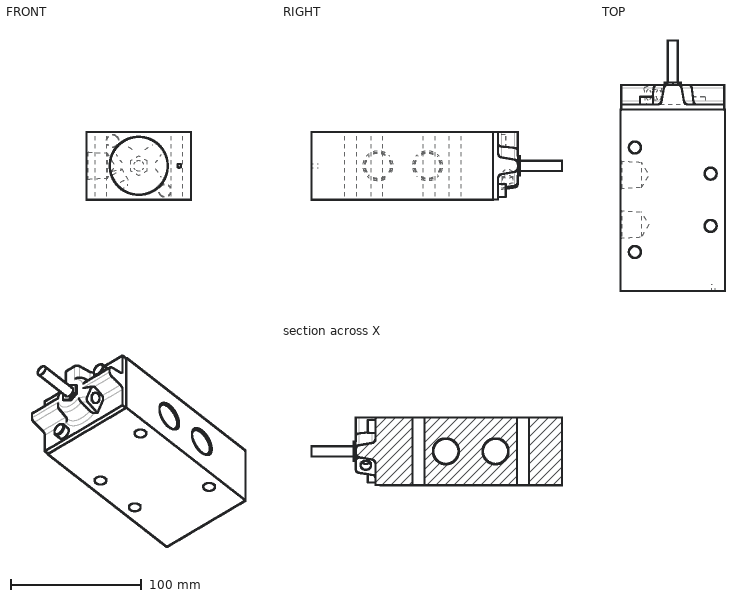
import cadquery as cq
import math

body_width = 80.0
body_length = 139.0
body_height = 52.0

plate_width = 79.0
plate_height = 51.8
plate_thickness = 4.0
plate_face_y = body_length + plate_thickness

rib_height = 15.0
rib_top_y = plate_face_y + rib_height
draft_angle = 10.0
draft_run = rib_height * math.tan(math.radians(draft_angle))
top_fillet = 3.0
foot_fillet = 3.0
foot_margin = 4.0
foot_y = plate_face_y - plate_thickness / 2
cross_rib_half_base = 6.9
wide_rib_half_base = 9.0
hub_base_radius = 17.5

outlet_angle = 30.0
outlet_reach = 21.4
outlet_hole_diameter = 8.0
outlet_hole_depth = 9.0
outlet_hole_y = 150.3

stud_diameter = 8.0
stud_end_y = 192.0
nut_across_flats = 13.0
nut_thickness = 1.7

screw_head_diameter = 10.0
screw_head_height = 6.0
screw_head_chamfer = 0.5
screw_offset_x = 20.0
screw_offset_z = 19.0

mount_middle_y = 70.0
mount_hole_diameter = 9.0
mount_row_x = 29.0
wide_mount_spacing = 80.0
narrow_mount_spacing = 40.0

port_diameter = 20.8
port_bottom_diameter = 19.2
port_mouth_diameter = 23.0
port_depth = 16.0
port_spacing = 38.0
drill_point_angle = 118.0

cover_diameter = 44.6
seam_width = 0.2
seam_depth = 0.5
vent_diameter = 3.0
vent_depth = 5.0
vent_x = 31.0


def rear_plane(y):
    """Plane at the given Y, facing +Y, with local x along -X and local y along Z."""
    return cq.Workplane(cq.Plane(origin=(0, y, 0), xDir=(-1, 0, 0), normal=(0, 1, 0)))


def front_plane(y):
    """Plane at the given Y, facing -Y, with local x along X and local y along Z."""
    return cq.Workplane("XZ", origin=(0, y, 0))


def make_body():
    body = cq.Workplane("XY").box(body_width, body_length, body_height, centered=(True, False, True))
    plate = rear_plane(body_length).rect(plate_width, plate_height).extrude(plate_thickness)
    return body.union(plate)


def drafted_profile(workplane, half_base):
    """Rib section with sharp corners, on a foot that lies inside the end plate."""
    foot_half = half_base + foot_margin
    half_top = half_base - draft_run
    return workplane.polyline([
        (-foot_half, foot_y),
        (foot_half, foot_y),
        (foot_half, plate_face_y),
        (half_base, plate_face_y),
        (half_top, rib_top_y),
        (-half_top, rib_top_y),
        (-half_base, plate_face_y),
        (-foot_half, plate_face_y),
    ]).close()


def drafted_rib(half_base, length):
    """Rib running from the Y axis up to Z = length, rounded at the top only."""
    rib = drafted_profile(cq.Workplane("XY"), half_base).extrude(length)
    return rib.edges("|Z").edges(">Y").fillet(top_fillet)


def filleted_rib(half_base, length):
    """Drafted rib that also has fillets where it meets the end plate."""
    root_edges = cq.selectors.BoxSelector(
        (-half_base - 1, plate_face_y - 1, -1),
        (half_base + 1, plate_face_y + 1, length + 1),
    )
    return drafted_rib(half_base, length).edges("|Z").edges(root_edges).fillet(foot_fillet)


def make_hub():
    foot_radius = hub_base_radius + foot_margin
    hub = cq.Workplane("XY").polyline([
        (0, foot_y),
        (foot_radius, foot_y),
        (foot_radius, plate_face_y),
        (hub_base_radius, plate_face_y),
        (hub_base_radius - draft_run, rib_top_y),
        (0, rib_top_y),
    ]).close().revolve(360, (0, 0, 0), (0, 1, 0))
    hub = hub.edges(cq.selectors.RadiusNthSelector(-2)).fillet(foot_fillet)
    return hub.edges(">Y").fillet(top_fillet)


def turned_about_y(shape, angle):
    return shape.rotate((0, 0, 0), (0, 1, 0), angle)


def make_outlet():
    """Cable outlet rib, built along +Z and then turned towards -X and -Z."""
    rib = drafted_rib(wide_rib_half_base, outlet_reach)
    hole = (
        cq.Workplane("XY", origin=(0, outlet_hole_y, outlet_reach - outlet_hole_depth))
        .circle(outlet_hole_diameter / 2)
        .extrude(outlet_hole_depth)
    )
    turn = -90 - outlet_angle
    return turned_about_y(rib, turn), turned_about_y(hole, turn)


def add_rear_details(part):
    half_cross_rib = filleted_rib(cross_rib_half_base, plate_width / 2)
    for angle in (-90, 90):
        part = part.union(turned_about_y(half_cross_rib, angle))
    part = part.union(filleted_rib(wide_rib_half_base, plate_height / 2))
    part = part.union(make_hub())
    outlet_rib, outlet_hole = make_outlet()
    return part.union(outlet_rib).cut(outlet_hole)


def add_stud(part):
    corner_diameter = nut_across_flats / math.cos(math.radians(30))
    nut = (
        rear_plane(rib_top_y)
        .transformed(rotate=(0, 0, 90))
        .polygon(6, corner_diameter)
        .extrude(nut_thickness)
    )
    stud = rear_plane(rib_top_y).circle(stud_diameter / 2).extrude(stud_end_y - rib_top_y)
    return part.union(nut).union(stud)


def add_screw_heads(part):
    heads = (
        rear_plane(plate_face_y)
        .pushPoints([(screw_offset_x, screw_offset_z), (-screw_offset_x, -screw_offset_z)])
        .circle(screw_head_diameter / 2)
        .extrude(screw_head_height)
        .edges(">Y")
        .chamfer(screw_head_chamfer)
    )
    return part.union(heads)


def cut_mount_holes(part):
    for x, spacing in ((-mount_row_x, wide_mount_spacing), (mount_row_x, narrow_mount_spacing)):
        for side in (-1, 1):
            hole = (
                cq.Workplane("XY", origin=(x, mount_middle_y + side * spacing / 2, -body_height / 2))
                .circle(mount_hole_diameter / 2)
                .extrude(body_height)
            )
            part = part.cut(hole)
    return part


def make_port(y):
    """Chamfered, slightly tapered blind hole with a drill point, entering from the -X side."""
    radius = port_diameter / 2
    bottom_radius = port_bottom_diameter / 2
    mouth_radius = port_mouth_diameter / 2
    outer_x = -body_width / 2
    tip_length = bottom_radius / math.tan(math.radians(drill_point_angle / 2))
    return cq.Workplane("XY").polyline([
        (outer_x, y),
        (outer_x, y + mouth_radius),
        (outer_x + mouth_radius - radius, y + radius),
        (outer_x + port_depth, y + bottom_radius),
        (outer_x + port_depth + tip_length, y),
    ]).close().revolve(360, (outer_x, y, 0), (outer_x + 1, y, 0))


def cut_ports(part):
    for side in (-1, 1):
        part = part.cut(make_port(mount_middle_y + side * port_spacing / 2))
    return part


def cut_front_details(part):
    seam = (
        front_plane(seam_depth)
        .circle(cover_diameter / 2)
        .circle(cover_diameter / 2 - seam_width)
        .extrude(seam_depth)
    )
    vent = front_plane(vent_depth).center(vent_x, 0).circle(vent_diameter / 2).extrude(vent_depth)
    return part.cut(seam).cut(vent)


result = make_body()
result = add_rear_details(result)
result = add_stud(result)
result = add_screw_heads(result)
result = cut_mount_holes(result)
result = cut_ports(result)
result = cut_front_details(result)